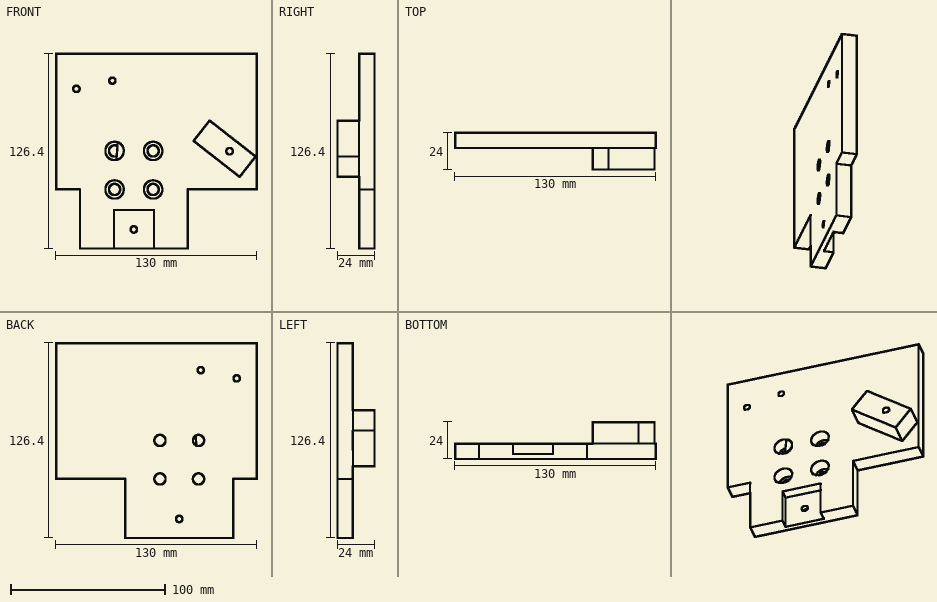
import cadquery as cq
import math

plate_width = 130.0
plate_height = 126.4
plate_thickness = 10.0
leg_left = 15.3
leg_width = 70.0
leg_height = 38.4
leg_center = leg_left + leg_width / 2

recess_width = 26.0
recess_height = 25.0
recess_depth = 6.5
recess_hole_diameter = 4.0

bolt_spacing = 25.0
bolt_diameter = 7.2
counterbore_diameter = 12.0
counterbore_depth = 8.6

web_offset = 1.5
web_tilt = 5.0
web_recess = 0.1
web_thickness = 0.3

corner_holes = [
    (13.1, plate_height - 22.9, 4.0),
    (36.4, plate_height - 17.5, 3.9),
]

block_length = 37.8
block_width = 16.8
block_thickness = 14.0
block_tilt = 38.0
block_center = (109.1, 64.7)
block_hole_diameter = 4.3
block_hole_depth = 10.0
block_hole_along = 3.5
block_hole_across = 0.6
drill_tip_angle = 118.0


def rod(x, z, diameter, front, depth):
    """Cylinder along +Y starting at Y = front."""
    return cq.Workplane(
        cq.Solid.makeCylinder(diameter / 2, depth, cq.Vector(x, front, z), cq.Vector(0, 1, 0))
    )


def counterbored_cutter(x, z):
    """Through hole with a counterbore from the front face."""
    bore = rod(x, z, bolt_diameter, 0, plate_thickness)
    return bore.union(rod(x, z, counterbore_diameter, 0, counterbore_depth))


def partly_covered_cutter(x, z):
    """Counterbored hole that leaves a thin web with a tilted straight edge across its mouth."""
    web = (
        cq.Workplane("XY")
        .box(counterbore_diameter, web_thickness, 2 * counterbore_diameter, centered=(False, False, True))
        .translate((web_offset, web_recess, 0))
        .rotate((0, 0, 0), (0, 1, 0), web_tilt)
        .translate((x, 0, z))
    )
    return counterbored_cutter(x, z).cut(web)


def make_plate():
    leg_right = leg_left + leg_width
    plate = (
        cq.Workplane("XZ")
        .polyline([
            (leg_left, 0),
            (leg_right, 0),
            (leg_right, leg_height),
            (plate_width, leg_height),
            (plate_width, plate_height),
            (0, plate_height),
            (0, leg_height),
            (leg_left, leg_height),
        ])
        .close()
        .extrude(-plate_thickness)
    )

    recess = (
        cq.Workplane("XY")
        .box(recess_width, recess_depth, recess_height, centered=(True, False, False))
        .translate((leg_center, 0, 0))
    )
    plate = plate.cut(recess)
    plate = plate.cut(rod(leg_center, recess_height / 2, recess_hole_diameter, 0, plate_thickness))

    left = leg_center - bolt_spacing / 2
    right = leg_center + bolt_spacing / 2
    upper = leg_height + bolt_spacing
    for x, z in [(left, leg_height), (right, leg_height), (right, upper)]:
        plate = plate.cut(counterbored_cutter(x, z))
    plate = plate.cut(partly_covered_cutter(left, upper))

    for x, z, diameter in corner_holes:
        plate = plate.cut(rod(x, z, diameter, 0, plate_thickness))
    return plate


def make_block():
    block = cq.Workplane("XY").box(
        block_length, block_thickness, block_width, centered=(True, False, True)
    )

    radius = block_hole_diameter / 2
    tip_length = radius / math.tan(math.radians(drill_tip_angle / 2))
    drill = rod(block_hole_along, block_hole_across, block_hole_diameter, 0, block_hole_depth)
    tip = cq.Workplane(
        cq.Solid.makeCone(
            radius,
            0,
            tip_length,
            cq.Vector(block_hole_along, block_hole_depth, block_hole_across),
            cq.Vector(0, 1, 0),
        )
    )
    block = block.cut(drill.union(tip))

    center_x, center_z = block_center
    return (
        block.rotate((0, 0, 0), (0, 1, 0), block_tilt)
        .translate((center_x, -block_thickness, center_z))
    )


plate = make_plate()
block = make_block()

result = cq.Compound.makeCompound([plate.val(), block.val()])